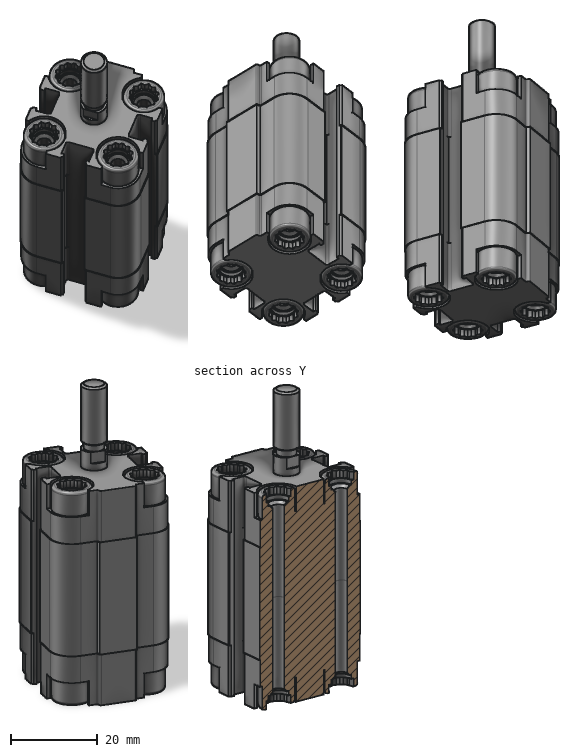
import cadquery as cq
import math

TOTAL_HEIGHT = 73.5
HOUSING_HEIGHT = 53.1
CAP_HEIGHT = 12.65

TUBE_WIDTH = 29.0
CORNER_RADIUS = 5.5
CAP_INSET = 0.185

RAIL_BASE_WIDTH = 9.7
RAIL_TOP_WIDTH = 9.25
RAIL_HEIGHT = 0.95
CAP_RAIL_FILLET = 0.4

SLOT_OPENING = 5.4
SLOT_WIDTH = 6.75
SLOT_LIP = 1.5
SLOT_DEPTH = 5.1
TUBE_LIP_FILLET = 0.185
CAP_LIP_FILLET = 0.45
CAP_SLOT_FLOOR_FILLET = 0.6

BOSS_SPACING = 18.0
BOSS_DIAMETER = 9.5
BOSS_FILLET = 0.7
BOSS_RECESS = 0.1
POCKET_DIAMETER = 10.0
POCKET_DEPTH = 6.0
POCKET_EDGE = 6.75

SOCKET_CORNER_DIAMETER = 6.9
SOCKET_POINTS = 12
SOCKET_NOTCH_DIAMETER = 6.1
SOCKET_RIM_DIAMETER = 7.05
SOCKET_RIM_HEIGHT = 0.15
SOCKET_DEPTH = 2.0
COUNTERBORE_DIAMETER = 5.7
COUNTERBORE_DEPTH = 3.1
HOLE_DIAMETER = 3.2
HOLE_MOUTH_DIAMETER = 4.8

ROD_DIAMETER = 6.1
THREAD_DIAMETER = 6.0
NECK_DIAMETER = 4.8
FLATS_WIDTH = 5.0
FLATS_BOTTOM = 54.8
NECK_BOTTOM = 57.55
THREAD_BOTTOM = 59.0
THREAD_CHAMFER_HEIGHT = 0.45

HOUSING_MIDDLE = HOUSING_HEIGHT / 2
BOSS_TOP = HOUSING_HEIGHT - BOSS_RECESS


def rounded_block(inset, bottom, height):
    """Square block with rounded corners, its outside set in from the tube's."""
    width = TUBE_WIDTH - 2 * inset
    block = cq.Workplane("XY", origin=(0, 0, bottom)).rect(width, width).extrude(height)
    return block.edges("|Z").fillet(CORNER_RADIUS - inset)


def rail(inset, bottom, height):
    """Rail of the +Y side, reaching inward to the part axis."""
    base_half = RAIL_BASE_WIDTH / 2 - inset
    top_half = RAIL_TOP_WIDTH / 2 - inset
    base = TUBE_WIDTH / 2 - inset
    top = base + RAIL_HEIGHT
    outline = [(-base_half, 0), (base_half, 0), (base_half, base)]
    outline += [(top_half, top), (-top_half, top), (-base_half, base)]
    return cq.Workplane("XY", origin=(0, 0, bottom)).polyline(outline).close().extrude(height)


def slot(inset, lip_fillet, floor_fillet, bottom, height):
    """T-slot cutter for the -Y side, flared at its mouth to round off the lips."""
    face = TUBE_WIDTH / 2 - inset
    floor = TUBE_WIDTH / 2 - SLOT_DEPTH
    lip = TUBE_WIDTH / 2 - SLOT_LIP
    opening_half = SLOT_OPENING / 2
    flare_half = opening_half + lip_fillet
    plane = cq.Workplane("XY", origin=(0, 0, bottom))
    mouth = (
        plane.moveTo(-opening_half, -floor)
        .lineTo(-opening_half, lip_fillet - face)
        .radiusArc((-flare_half, -face), -lip_fillet)
        .lineTo(flare_half, -face)
        .radiusArc((opening_half, lip_fillet - face), -lip_fillet)
        .lineTo(opening_half, -floor)
        .close()
        .extrude(height)
    )
    undercut = plane.center(0, -(floor + lip) / 2).rect(SLOT_WIDTH, lip - floor).extrude(height)
    if floor_fillet > 0:
        undercut = undercut.edges("|Z and >Y").fillet(floor_fillet)
    return undercut.union(mouth)


def cut_slots(body, cutter):
    """Cut the slot into the -X, -Y and +X sides."""
    for angle in (-90, 0, 90):
        body = body.cut(cutter.rotate((0, 0, 0), (0, 0, 1), angle))
    return body


def make_tube():
    """Middle stretch of the housing."""
    height = HOUSING_HEIGHT - 2 * CAP_HEIGHT
    tube = rounded_block(0, CAP_HEIGHT, height).union(rail(0, CAP_HEIGHT, height))
    return cut_slots(tube, slot(0, TUBE_LIP_FILLET, 0, CAP_HEIGHT, height))


def make_cap(bottom):
    """End stretch of the housing, with the rail and slot edges rounded."""
    cap = rounded_block(CAP_INSET, bottom, CAP_HEIGHT).union(rail(CAP_INSET, bottom, CAP_HEIGHT))
    rail_base = TUBE_WIDTH / 2 - CAP_INSET
    rail_corners = cq.selectors.BoxSelector(
        (-RAIL_BASE_WIDTH / 2, rail_base - CAP_RAIL_FILLET, bottom),
        (RAIL_BASE_WIDTH / 2, rail_base + RAIL_HEIGHT + CAP_RAIL_FILLET, bottom + CAP_HEIGHT),
    )
    cap = cap.edges("|Z").edges(rail_corners).fillet(CAP_RAIL_FILLET)
    return cut_slots(cap, slot(CAP_INSET, CAP_LIP_FILLET, CAP_SLOT_FLOOR_FILLET, bottom, CAP_HEIGHT))


def boss_pocket():
    """Clearance round the boss of the +X +Y corner at the top, open to the corner."""
    center = BOSS_SPACING / 2
    bottom = HOUSING_HEIGHT - POCKET_DEPTH
    plane = cq.Workplane("XY", origin=(0, 0, bottom))
    ring = plane.center(center, center).circle(POCKET_DIAMETER / 2).extrude(POCKET_DEPTH)
    corner = plane.moveTo(POCKET_EDGE, POCKET_EDGE)
    corner = corner.rect(TUBE_WIDTH, TUBE_WIDTH, centered=False).extrude(POCKET_DEPTH)
    return ring.union(corner)


def boss():
    """Round boss of the +X +Y corner at the top, with a rounded rim."""
    center = BOSS_SPACING / 2
    return (
        cq.Workplane("XY", origin=(center, center, HOUSING_HEIGHT - POCKET_DEPTH))
        .circle(BOSS_DIAMETER / 2)
        .extrude(POCKET_DEPTH - BOSS_RECESS)
        .faces(">Z")
        .edges()
        .fillet(BOSS_FILLET)
    )


def star_points():
    """Corners and notches of the twelve-point socket, in turn."""
    points = []
    for i in range(2 * SOCKET_POINTS):
        diameter = SOCKET_CORNER_DIAMETER if i % 2 == 0 else SOCKET_NOTCH_DIAMETER
        angle = math.pi * i / SOCKET_POINTS
        points.append((diameter / 2 * math.cos(angle), diameter / 2 * math.sin(angle)))
    return points


def boss_socket():
    """Socket, counterbore and hole down to mid height in the +X +Y boss at the top."""
    center = BOSS_SPACING / 2
    socket = (
        cq.Workplane("XY", origin=(center, center, BOSS_TOP - SOCKET_DEPTH))
        .polyline(star_points())
        .close()
        .extrude(SOCKET_DEPTH)
    )
    floor = BOSS_TOP - COUNTERBORE_DEPTH
    mouth_height = (HOLE_MOUTH_DIAMETER - HOLE_DIAMETER) / 2
    bore = (
        cq.Workplane("XZ")
        .moveTo(0, HOUSING_MIDDLE)
        .lineTo(HOLE_DIAMETER / 2, HOUSING_MIDDLE)
        .lineTo(HOLE_DIAMETER / 2, floor - mouth_height)
        .lineTo(HOLE_MOUTH_DIAMETER / 2, floor)
        .lineTo(COUNTERBORE_DIAMETER / 2, floor)
        .lineTo(COUNTERBORE_DIAMETER / 2, BOSS_TOP - SOCKET_RIM_HEIGHT)
        .lineTo(SOCKET_NOTCH_DIAMETER / 2, BOSS_TOP - SOCKET_RIM_HEIGHT)
        .lineTo(SOCKET_RIM_DIAMETER / 2, BOSS_TOP)
        .lineTo(0, BOSS_TOP)
        .close()
        .revolve(360, (0, 0, 0), (0, 1, 0))
        .translate((center, center, 0))
    )
    return socket.union(bore)


def place(shape, corner, at_bottom):
    """Turn a top-corner shape to another corner, mirrored to the bottom end if asked."""
    turned = shape.rotate((0, 0, 0), (0, 0, 1), 90 * corner)
    if at_bottom:
        return turned.mirror("XY", (0, 0, HOUSING_MIDDLE))
    return turned


def make_housing():
    """Tube with a cap at each end and four socketed bosses in each cap."""
    housing = make_tube().union(make_cap(0)).union(make_cap(HOUSING_HEIGHT - CAP_HEIGHT))
    pocket = boss_pocket()
    head = boss()
    socket = boss_socket()
    for at_bottom in (False, True):
        for corner in range(4):
            housing = housing.cut(place(pocket, corner, at_bottom))
            housing = housing.union(place(head, corner, at_bottom))
            housing = housing.cut(place(socket, corner, at_bottom))
    return housing


def make_rod():
    """Rod standing on the top face, with wrench flats, a neck and a plain thread."""
    rod = (
        cq.Workplane("XZ")
        .moveTo(0, HOUSING_HEIGHT)
        .lineTo(ROD_DIAMETER / 2, HOUSING_HEIGHT)
        .lineTo(ROD_DIAMETER / 2, NECK_BOTTOM)
        .lineTo(NECK_DIAMETER / 2, NECK_BOTTOM)
        .lineTo(NECK_DIAMETER / 2, THREAD_BOTTOM)
        .lineTo(THREAD_DIAMETER / 2, THREAD_BOTTOM + THREAD_CHAMFER_HEIGHT)
        .lineTo(THREAD_DIAMETER / 2, TOTAL_HEIGHT - THREAD_CHAMFER_HEIGHT)
        .lineTo(NECK_DIAMETER / 2, TOTAL_HEIGHT)
        .lineTo(0, TOTAL_HEIGHT)
        .close()
        .revolve(360, (0, 0, 0), (0, 1, 0))
    )
    flat_depth = (ROD_DIAMETER - FLATS_WIDTH) / 2
    for side in (-1, 1):
        flat = cq.Workplane("XY", origin=(0, side * (FLATS_WIDTH + flat_depth) / 2, FLATS_BOTTOM))
        rod = rod.cut(flat.rect(ROD_DIAMETER, flat_depth).extrude(NECK_BOTTOM - FLATS_BOTTOM))
    return rod


housing = make_housing()
rod = make_rod()
result = cq.Compound.makeCompound([housing.val(), rod.val()])